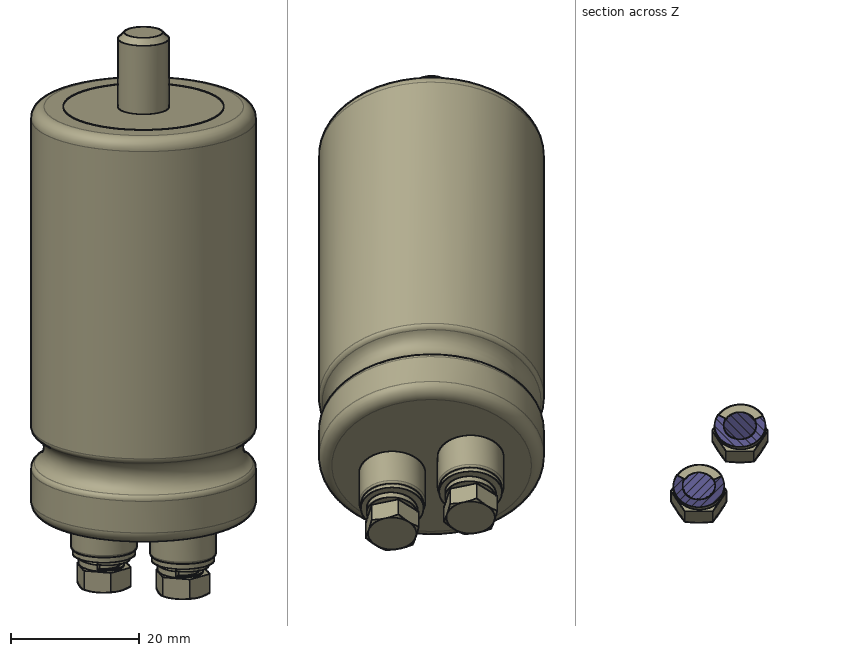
import cadquery as cq
import math

can_diameter = 35.0
can_height = 65.95
can_edge_radius = 2.0
top_recess_diameter = 25.0
top_recess_depth = 0.1

groove_height = 10.6
groove_arc_radius = 3.0
groove_depth = 2.0
groove_lip_radius = 1.0

stud_diameter = 8.0
stud_chamfer = 1.0
stud_length = 12.0

overall_height = 90.5

terminal_pitch = 12.8
terminal_diameter = 10.3
terminal_length = 6.4
terminal_edge_radius = 0.45

washer_diameter = 9.8
washer_thickness = 0.8

lock_washer_diameter = 8.0
lock_washer_thickness = 1.0
lock_washer_rise = 1.1
lock_washer_space = 1.7

bolt_diameter = 5.0
bolt_depth_in_terminal = 5.4
bolt_collar_diameter = 6.2
bolt_collar_height = 0.2
head_across_flats = 7.5
head_corner_drop = 0.3

can_radius = can_diameter / 2
recess_floor = can_height - top_recess_depth
terminal_places = [-terminal_pitch / 2, terminal_pitch / 2]
washer_top = -terminal_length
bolt_hole_top = washer_top + bolt_depth_in_terminal
lock_washer_top = washer_top - washer_thickness
collar_top = lock_washer_top - lock_washer_space
head_top = collar_top - bolt_collar_height
bolt_bottom = can_height + stud_length - overall_height
head_height = head_top - bolt_bottom


def cylinder(diameter, bottom, height):
    return cq.Workplane("XY", origin=(0, 0, bottom)).circle(diameter / 2).extrude(height)


def make_can_barrel():
    """Revolved can with rounded ends and a crimp groove whose lips are rounded."""
    groove_centre_radius = can_radius - groove_depth + groove_arc_radius
    lip_centre_radius = can_radius - groove_lip_radius
    centre_distance = groove_arc_radius + groove_lip_radius
    radial_step = groove_centre_radius - lip_centre_radius
    lip_rise = math.sqrt(centre_distance**2 - radial_step**2)
    groove_share = groove_arc_radius / centre_distance
    joint_radius = groove_centre_radius - radial_step * groove_share
    joint_rise = lip_rise * groove_share
    half_turn = math.atan2(lip_rise, radial_step) / 2
    lip_mid_radius = lip_centre_radius + groove_lip_radius * math.cos(half_turn)
    lip_mid_rise = lip_rise - groove_lip_radius * math.sin(half_turn)

    lower_lip_mid = (lip_mid_radius, groove_height - lip_mid_rise)
    lower_joint = (joint_radius, groove_height - joint_rise)
    groove_floor = (can_radius - groove_depth, groove_height)
    upper_joint = (joint_radius, groove_height + joint_rise)
    upper_lip_mid = (lip_mid_radius, groove_height + lip_mid_rise)

    profile = (
        cq.Workplane("XZ")
        .lineTo(can_radius, 0)
        .lineTo(can_radius, groove_height - lip_rise)
        .threePointArc(lower_lip_mid, lower_joint)
        .threePointArc(groove_floor, upper_joint)
        .threePointArc(upper_lip_mid, (can_radius, groove_height + lip_rise))
        .lineTo(can_radius, can_height)
        .lineTo(0, can_height)
        .close()
    )
    barrel = profile.revolve(360, (0, 0, 0), (0, 1, 0))
    return barrel.faces("<Z or >Z").edges().fillet(can_edge_radius)


def make_stud():
    stud = cylinder(stud_diameter, recess_floor, stud_length + top_recess_depth)
    return stud.faces(">Z").chamfer(stud_chamfer)


def make_terminal():
    terminal = cylinder(terminal_diameter, washer_top, terminal_length + can_edge_radius)
    return terminal.faces("<Z").edges().fillet(terminal_edge_radius)


def make_housing():
    """Can, stud and both terminals as one body, with a bolt hole in each terminal."""
    housing = make_can_barrel().cut(cylinder(top_recess_diameter, recess_floor, top_recess_depth))
    housing = housing.union(make_stud())
    for x in terminal_places:
        housing = housing.union(make_terminal().translate((x, 0, 0)))
        bolt_hole = cylinder(bolt_diameter, washer_top, bolt_depth_in_terminal)
        housing = housing.cut(bolt_hole.translate((x, 0, 0)))
    return housing


def make_flat_washer(x):
    washer = cylinder(washer_diameter, lock_washer_top, washer_thickness)
    washer = washer.cut(cylinder(bolt_diameter, lock_washer_top, washer_thickness))
    return washer.translate((x, 0, 0))


def make_lock_washer(x):
    """One left-hand helical turn split on the -Y side, its high end flattened by the flat washer."""
    inner_radius = bolt_diameter / 2
    section_width = lock_washer_diameter / 2 - inner_radius
    mean_radius = inner_radius + section_width / 2
    helix = cq.Wire.makeHelix(lock_washer_rise, lock_washer_rise, mean_radius, lefthand=True)
    coil = (
        cq.Workplane("XZ")
        .center(mean_radius, lock_washer_thickness / 2)
        .rect(section_width, lock_washer_thickness)
        .sweep(cq.Workplane(helix), isFrenet=True)
        .rotate((0, 0, 0), (0, 0, 1), -90)
        .translate((x, 0, collar_top))
    )
    space = cylinder(washer_diameter, collar_top, lock_washer_space).translate((x, 0, 0))
    bolt_hole = cylinder(bolt_diameter, collar_top, lock_washer_space).translate((x, 0, 0))
    return coil.intersect(space).cut(bolt_hole)


def make_bolt(x):
    """Hexagon bolt with its head down and two opposite corners along X."""
    across_corners = head_across_flats / math.cos(math.pi / 6)
    head = cq.Workplane("XY", origin=(0, 0, bolt_bottom)).polygon(6, across_corners).extrude(head_height)
    corner_overhang = (across_corners - head_across_flats) / 2
    trim = cylinder(across_corners, bolt_bottom, head_height)
    trim = trim.faces("<Z").chamfer(head_corner_drop, corner_overhang)
    collar = cylinder(bolt_collar_diameter, head_top, bolt_collar_height)
    shank = cylinder(bolt_diameter, head_top, bolt_hole_top - head_top)
    head = head.intersect(trim)
    return head.union(collar).union(shank).translate((x, 0, 0))


housing = make_housing()
flat_washers = [make_flat_washer(x) for x in terminal_places]
lock_washers = [make_lock_washer(x) for x in terminal_places]
bolts = [make_bolt(x) for x in terminal_places]

bodies = [housing, *flat_washers, *lock_washers, *bolts]
result = cq.Compound.makeCompound([body.solids().val() for body in bodies])